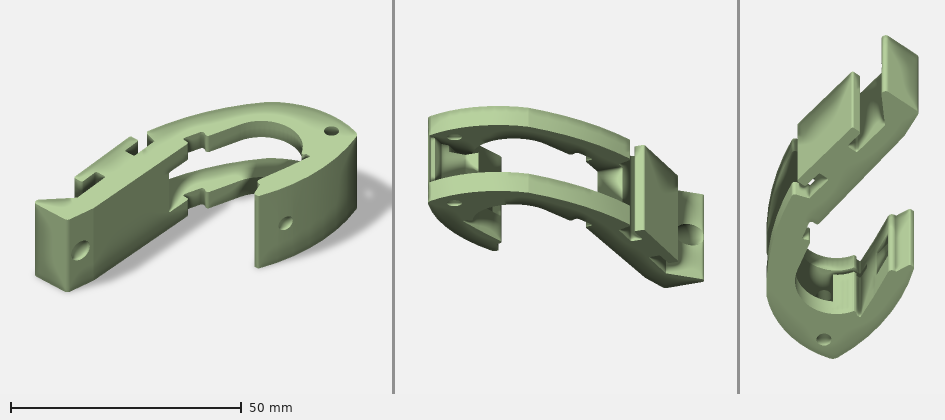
import cadquery as cq
import math


width = 20.0
foot_y = -32.5

column_left_x = -13.85
column_top = (-7.8, 5.2)
column_bottom = (-8.8, -25.5)
foot_slope_y = -25.0
foot_left_x = -21.25
foot_right_x = -10.3
foot_round = 0.9

plate_outer_x = -19.0
plate_inner_x = -16.55
plate_top_y = -1.25
plate_bottom_y = -20.2
upper_slot_floor_y = -6.0
lower_slot_floor_y = -15.45
plate_round = 0.45

arm_end_outer = (-17.35, 1.95)
arm_end_inner_y = 0.7
arm_end_round = 0.8
arm_mid = (-11.4, 16.8)
arm_shoulder = (-3.95, 27.15)
latch_notch_bottom_x = -9.9
latch_notch_top = (-8.05, 10.25)
latch_notch_lip = (-6.25, 9.3)
notch_round = 0.6

crown_top = (10.3, 32.5)
crown_corner = (18.2, 31.1)
crown_round = 1.95
bore_x = 5.0
bore_y = 14.3
bore_radius = 8.95
bore_end = (12.9, 18.5)

leg_outer_mid = (19.95, 18.85)
lip_point = (13.05, 18.1)
lip_outer = (13.85, 18.1)
groove_start = (14.1, 18.65)
leg_top = (15.3, 18.65)
leg_bend_start = (14.0, 12.7)
leg_bend_end = (13.8, 11.9)
leg_bottom = (11.8, 4.35)
leg_bottom_round = 0.9
tip_slope_top = (13.3, 4.1)
tip_y = 0.7
tip_inner_x = 14.4
tip_outer_x = 15.65
tip_round = 0.45
lip_round = 0.25
groove_round = 0.2

channel_width = 11.05
channel_end_y = -1.25
channel_end_round = 0.4
channel_left_x = -26.0
channel_top_y = 39.0
stop_x = 9.95
stop_y = 21.65
stop_slope_x = 13.3
channel_wall_x = 17.1
channel_wall_bottom_y = 26.0
channel_wall_top_y = 29.6
channel_chamfer = 0.65

pocket_width = 8.05
slot_back_x = 15.9
slot_end_y = 15.5
slot_end_round = 0.4
pocket_back_x = 13.9
pocket_bottom_y = 5.25
pocket_top_y = 11.25
pocket_round = 0.4
pin_x = 13.05
pin_y = 28.25
pin_diameter = 3.25
leg_hole_y = 7.0
leg_hole_diameter = 3.5
foot_hole_y = -29.0
foot_hole_diameter = 4.95


def tangent_point_on_bore(start):
    """Point on the left of the bore where a line from start touches it."""
    dx = bore_x - start[0]
    dy = bore_y - start[1]
    angle = math.atan2(dy, dx) + math.asin(bore_radius / math.hypot(dx, dy))
    reach = math.sqrt(dx**2 + dy**2 - bore_radius**2)
    return (start[0] + reach * math.cos(angle), start[1] + reach * math.sin(angle))


def round_corners(body, radius, corners):
    """Round the edges along Z that stand at the given (x, y) corners."""
    for x, y in corners:
        edge = cq.selectors.NearestToPointSelector((x, y, 0))
        body = body.edges("|Z").edges(edge).fillet(radius)
    return body


def hook_body():
    bore_start = tangent_point_on_bore(latch_notch_lip)
    bore_top = (bore_x, bore_y + bore_radius)
    body = (
        cq.Workplane("XY", origin=(0, 0, -width / 2))
        .moveTo(foot_left_x, foot_y)
        .lineTo(foot_right_x, foot_y)
        .lineTo(*column_bottom)
        .lineTo(*column_top)
        .lineTo(latch_notch_bottom_x, column_top[1])
        .lineTo(*latch_notch_top)
        .lineTo(*latch_notch_lip)
        .lineTo(*bore_start)
        .threePointArc(bore_top, bore_end)
        .lineTo(*lip_point)
        .lineTo(*lip_outer)
        .lineTo(*groove_start)
        .lineTo(*leg_top)
        .lineTo(*leg_bend_start)
        .tangentArcPoint(leg_bend_end, relative=False)
        .lineTo(*leg_bottom)
        .lineTo(*tip_slope_top)
        .lineTo(tip_inner_x, tip_y)
        .lineTo(tip_outer_x, tip_y)
        .threePointArc(leg_outer_mid, crown_corner)
        .threePointArc(crown_top, arm_shoulder)
        .threePointArc(arm_mid, arm_end_outer)
        .lineTo(column_left_x, arm_end_inner_y)
        .lineTo(column_left_x, upper_slot_floor_y)
        .lineTo(plate_inner_x, upper_slot_floor_y)
        .lineTo(plate_inner_x, plate_top_y)
        .lineTo(plate_outer_x, plate_top_y)
        .lineTo(plate_outer_x, plate_bottom_y)
        .lineTo(plate_inner_x, plate_bottom_y)
        .lineTo(plate_inner_x, lower_slot_floor_y)
        .lineTo(column_left_x, lower_slot_floor_y)
        .lineTo(column_left_x, foot_slope_y)
        .close()
        .extrude(width)
    )
    body = round_corners(body, foot_round, [(foot_left_x, foot_y), (foot_right_x, foot_y)])
    plate_corners = [
        (x, y)
        for x in (plate_outer_x, plate_inner_x)
        for y in (plate_top_y, plate_bottom_y)
    ]
    slot_corners = [
        (x, y)
        for x in (plate_inner_x, column_left_x)
        for y in (upper_slot_floor_y, lower_slot_floor_y)
    ]
    body = round_corners(body, plate_round, plate_corners + slot_corners)
    notch_corners = [
        column_top,
        (latch_notch_bottom_x, column_top[1]),
        latch_notch_top,
        latch_notch_lip,
    ]
    body = round_corners(body, notch_round, notch_corners)
    body = round_corners(body, arm_end_round, [arm_end_outer])
    body = round_corners(body, crown_round, [crown_corner])
    body = round_corners(body, lip_round, [lip_point, leg_top])
    body = round_corners(body, groove_round, [lip_outer, groove_start, tip_slope_top])
    body = round_corners(body, leg_bottom_round, [leg_bottom])
    return round_corners(body, tip_round, [(tip_inner_x, tip_y), (tip_outer_x, tip_y)])


def gate_channel():
    """Room for the gate: everything left of the stop and of the wall behind the pivot pin."""
    wall_top_x = channel_wall_x + channel_chamfer
    channel = (
        cq.Workplane("XY", origin=(0, 0, -channel_width / 2))
        .moveTo(channel_left_x, channel_end_y)
        .lineTo(stop_x, channel_end_y)
        .lineTo(stop_x, stop_y)
        .lineTo(stop_slope_x, stop_y)
        .lineTo(channel_wall_x, channel_wall_bottom_y)
        .lineTo(channel_wall_x, channel_wall_top_y)
        .lineTo(wall_top_x, channel_wall_top_y + channel_chamfer)
        .lineTo(wall_top_x, channel_top_y)
        .lineTo(channel_left_x, channel_top_y)
        .close()
        .extrude(channel_width)
    )
    return channel.faces("<Y").edges("|X").fillet(channel_end_round)


def spring_slot():
    """Slot for the spring leg, along the upper side of the channel and into the right leg."""
    bottom_z = pocket_width / 2
    height = channel_width / 2 - bottom_z
    slot = cq.Workplane("XY").box(
        slot_back_x - stop_x,
        channel_wall_bottom_y - slot_end_y,
        height,
        centered=False,
    )
    slot = slot.faces("<Y").edges("|X").fillet(slot_end_round)
    return slot.translate((stop_x, slot_end_y, bottom_z))


def leg_pocket():
    """Flat-bottomed pocket in the sloping inner face of the right leg."""
    pocket = cq.Workplane("XY").box(
        pocket_back_x - stop_x,
        pocket_top_y - pocket_bottom_y,
        pocket_width,
        centered=(False, False, True),
    )
    pocket = pocket.faces(">Y").edges("|X").fillet(pocket_round)
    return pocket.translate((stop_x, pocket_bottom_y, 0))


def cross_hole(y, diameter):
    """Hole along X through the whole part."""
    reach = abs(channel_left_x)
    return (
        cq.Workplane("YZ", origin=(-reach, y, 0)).circle(diameter / 2).extrude(2 * reach)
    )


pin_hole = (
    cq.Workplane("XY", origin=(pin_x, pin_y, -width / 2)).circle(pin_diameter / 2).extrude(width)
)

result = (
    hook_body()
    .cut(gate_channel())
    .cut(spring_slot())
    .cut(leg_pocket())
    .cut(pin_hole)
    .cut(cross_hole(leg_hole_y, leg_hole_diameter))
    .cut(cross_hole(foot_hole_y, foot_hole_diameter))
)